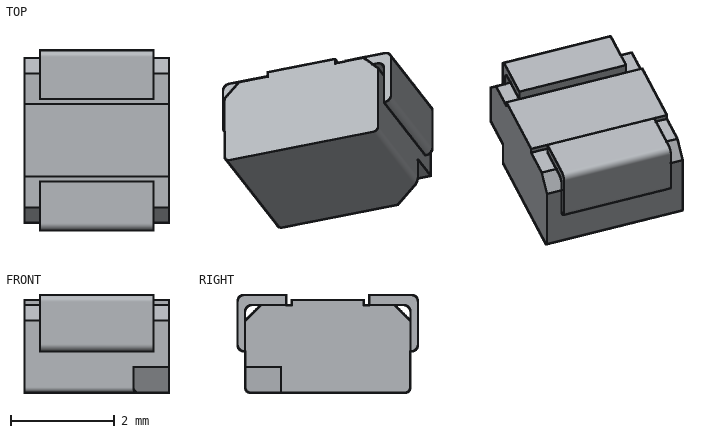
import cadquery as cq

length_x = 2.8
span_y = 3.5
height = 1.9

lead_width = 2.2
lead_wall = 0.15
lead_arm = 0.2
lead_drop = 1.1
lead_gap = 1.6
lead_outer_radius = 0.133
lead_inner_radius = 0.133

pad_width = 1.4
pad_height = 0.1
top_chamfer = 0.3
bottom_radius = 0.1
corner_cut = 0.69
corner_cut_height = 0.5

body_half = span_y / 2 - lead_wall
shoulder_z = height - lead_arm


def make_body():
    """Block with sloped top edges, rounded bottom edges and a raised central pad."""
    block = cq.Workplane("XY").box(length_x, 2 * body_half, shoulder_z, centered=(True, True, False))
    block = block.faces(">Z").edges("|X").chamfer(top_chamfer)
    block = block.faces("<Z").edges("|X").fillet(bottom_radius)
    pad = (
        cq.Workplane("XY", origin=(0, 0, shoulder_z))
        .box(length_x, pad_width, pad_height, centered=(True, True, False))
    )
    return block.union(pad)


def make_corner_cut():
    """Triangular prism that bevels the lower part of the +X, -Y corner."""
    corner_x = length_x / 2
    return (
        cq.Workplane("XY")
        .polyline([
            (corner_x, -body_half),
            (corner_x - corner_cut, -body_half),
            (corner_x, -body_half + corner_cut),
        ])
        .close()
        .extrude(corner_cut_height)
    )


def make_lead():
    """L-shaped strip over the +Y end, with a rounded bend and a rounded lower tip."""
    outer_y = span_y / 2
    tip_z = height - lead_drop
    arm_end_y = lead_gap / 2
    lead = (
        cq.Workplane("YZ")
        .polyline([
            (arm_end_y, height),
            (outer_y, height),
            (outer_y, tip_z),
            (body_half, tip_z),
            (body_half, shoulder_z),
            (arm_end_y, shoulder_z),
        ])
        .close()
        .extrude(lead_width / 2, both=True)
    )
    lead = lead.faces(">Y").edges("|X").fillet(lead_outer_radius)
    inner_corner = cq.selectors.NearestToPointSelector((0, body_half, shoulder_z))
    return lead.edges("|X").edges(inner_corner).fillet(lead_inner_radius)


lead = make_lead()
result = make_body().cut(make_corner_cut()).union(lead).union(lead.mirror("XZ"))